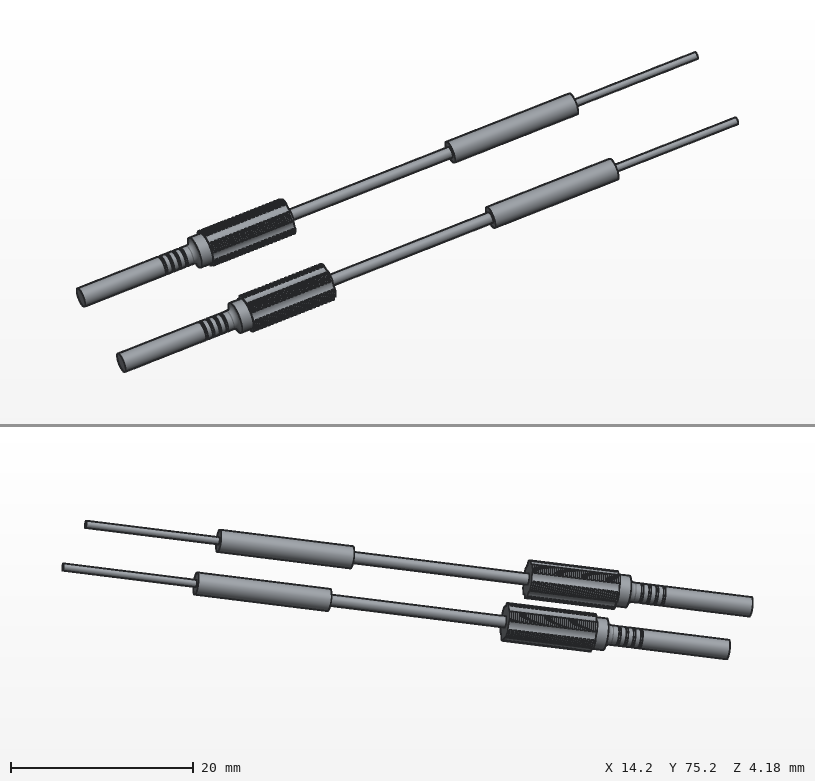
import cadquery as cq
TOTAL_LENGTH = 75.2
PROBE_SPACING = 10.0

WIRE_DIAMETER = 0.8
WIRE_LENGTH = 15.05
SLEEVE_DIAMETER = 2.5
SLEEVE_LENGTH = 15.05
ROD_DIAMETER = 1.3
ROD_LENGTH = 19.9

GRIP_DIAMETER = 4.2
GRIP_LENGTH = 9.9
COLLAR_DIAMETER = 3.5
COLLAR_LENGTH = 1.35
CABLE_DIAMETER = 2.2

GRIP_GROOVE_COUNT = 21
GRIP_GROOVE_DEPTH = 0.1

FLUTE_COUNT = 6
FLUTE_RADIUS = 1.1
FLUTE_DEPTH = 0.2
FLUTE_TURN = 9.0

FLEX_COUNT = 4
FLEX_WIDTH = 0.2
FLEX_DEPTH = 0.1
FLEX_PITCH = 0.8
FLEX_GAP = 0.7

CABLE_END = -TOTAL_LENGTH / 2
WIRE_START = TOTAL_LENGTH / 2 - WIRE_LENGTH
SLEEVE_START = WIRE_START - SLEEVE_LENGTH
ROD_START = SLEEVE_START - ROD_LENGTH
GRIP_START = ROD_START - GRIP_LENGTH
COLLAR_START = GRIP_START - COLLAR_LENGTH
COLLAR_FILLET = (COLLAR_DIAMETER - CABLE_DIAMETER) / 2
FILLET_START = COLLAR_START - COLLAR_FILLET

ORIGIN = (0, 0, 0)
PROBE_AXIS = (0, 1, 0)


def cylinder(diameter, start, length):
    """Cylinder on the probe axis, from start toward +Y."""
    base = cq.Workplane("XZ", origin=(0, start, 0))
    return base.circle(diameter / 2).extrude(-length)


def groove(diameter, depth, start, width):
    """Ring to cut from a cylinder of the given diameter."""
    outer = cylinder(diameter, start, width)
    return outer.cut(cylinder(diameter - 2 * depth, start, width))


def make_needle():
    rod = cylinder(ROD_DIAMETER, ROD_START, ROD_LENGTH)
    sleeve = cylinder(SLEEVE_DIAMETER, SLEEVE_START, SLEEVE_LENGTH)
    wire = cylinder(WIRE_DIAMETER, WIRE_START, WIRE_LENGTH)
    return rod.union(sleeve).union(wire)


def make_grip(flute_turn):
    grip = cylinder(GRIP_DIAMETER, GRIP_START, GRIP_LENGTH)
    ridge_width = GRIP_LENGTH / (2 * GRIP_GROOVE_COUNT + 1)
    for index in range(GRIP_GROOVE_COUNT):
        start = GRIP_START + (2 * index + 1) * ridge_width
        grip = grip.cut(groove(GRIP_DIAMETER, GRIP_GROOVE_DEPTH, start, ridge_width))

    flute_offset = GRIP_DIAMETER / 2 - FLUTE_DEPTH + FLUTE_RADIUS
    flute = cylinder(2 * FLUTE_RADIUS, GRIP_START, GRIP_LENGTH).translate((0, 0, flute_offset))
    for index in range(FLUTE_COUNT):
        angle = flute_turn + index * 360 / FLUTE_COUNT
        grip = grip.cut(flute.rotate(ORIGIN, PROBE_AXIS, angle))
    return grip


def make_collar_and_cable():
    collar_radius = COLLAR_DIAMETER / 2
    cable_radius = CABLE_DIAMETER / 2
    profile = (
        cq.Workplane("XY")
        .moveTo(0, CABLE_END)
        .lineTo(cable_radius, CABLE_END)
        .lineTo(cable_radius, FILLET_START)
        .radiusArc((collar_radius, COLLAR_START), COLLAR_FILLET)
        .lineTo(collar_radius, GRIP_START)
        .lineTo(0, GRIP_START)
        .close()
    )
    body = profile.revolve(360, ORIGIN, PROBE_AXIS)
    for index in range(FLEX_COUNT):
        start = FILLET_START - FLEX_GAP - FLEX_WIDTH - index * FLEX_PITCH
        body = body.cut(groove(CABLE_DIAMETER, FLEX_DEPTH, start, FLEX_WIDTH))
    return body


def make_handle(flute_turn):
    return make_grip(flute_turn).union(make_collar_and_cable())


bodies = []
for side in (-1, 1):
    place = (side * PROBE_SPACING / 2, 0, 0)
    needle = make_needle().translate(place)
    handle = make_handle(-side * FLUTE_TURN).translate(place)
    bodies.append(needle.val())
    bodies.append(handle.val())

result = cq.Compound.makeCompound(bodies)